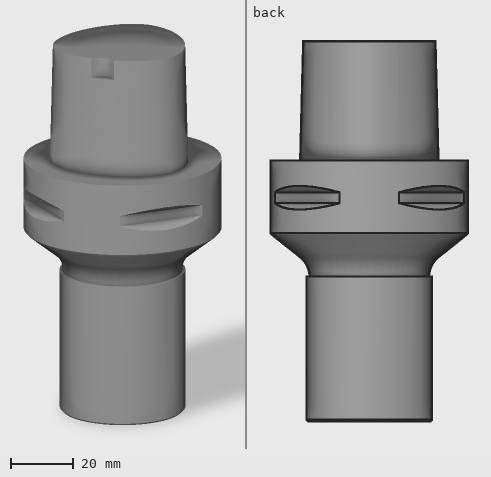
import cadquery as cq
import math

total_height = 121.0
shank_height = 46.1
flange_top = 83.0

shank_diameter = 40.0
shank_chamfer = 0.6

flange_radius = 63.0 / 2
flange_chamfer = 0.6
neck_radius = 38.1 / 2
neck_fillet_radius = 8.0
cone_angle = 38.5
cone_top_radius = flange_radius - flange_chamfer

groove_count = 4
groove_first_angle = 45.0
groove_level = 71.1
groove_floor_distance = 28.0
groove_floor_height = 3.4
groove_wall_angle = 30.0

polygon_radius = 22.0
polygon_lobe = 1.3
polygon_taper = 1.0
lobe_count = 3
lobe_half_angle = 36.0
lobe_pitch = 360.0 / lobe_count
first_lobe_direction = 90.0
steps_per_curve = 6

notch_radius = 4.6
notch_center_y = -22.3
notch_depth = 6.4


def polygon_point(radius, normal_angle):
    """Point of the constant-width outline whose outward normal has the given angle."""
    theta = math.radians(normal_angle)
    turn = math.radians(normal_angle - first_lobe_direction) * lobe_count
    support = radius + polygon_lobe * math.cos(turn)
    slope = -lobe_count * polygon_lobe * math.sin(turn)
    x = support * math.cos(theta) - slope * math.sin(theta)
    y = support * math.sin(theta) + slope * math.cos(theta)
    return cq.Vector(x, y, 0)


def polygon_curve(radius, start, end):
    """Stretch of the outline between two normal angles."""
    angles = [start + (end - start) * i / steps_per_curve for i in range(steps_per_curve + 1)]
    tangents = [
        cq.Vector(-math.sin(math.radians(angle)), math.cos(math.radians(angle)), 0)
        for angle in (start, end)
    ]
    return cq.Edge.makeSpline([polygon_point(radius, angle) for angle in angles], tangents=tangents)


def polygon_wire(radius, level):
    """Closed outline of alternating lobes and flatter sides."""
    curves = []
    for i in range(lobe_count):
        lobe = first_lobe_direction + i * lobe_pitch
        lobe_end = lobe + lobe_half_angle
        next_lobe_start = lobe + lobe_pitch - lobe_half_angle
        curves.append(polygon_curve(radius, lobe - lobe_half_angle, lobe_end))
        curves.append(polygon_curve(radius, lobe_end, next_lobe_start))
    return cq.Wire.assembleEdges(curves).translate(cq.Vector(0, 0, level))


def make_polygon():
    """Tapered polygon with its locating notch."""
    base = polygon_wire(polygon_radius, flange_top)
    top = polygon_wire(polygon_radius - polygon_taper, total_height)
    notch = (
        cq.Workplane("XY", origin=(0, notch_center_y, total_height - notch_depth))
        .circle(notch_radius)
        .extrude(notch_depth)
    )
    return cq.Workplane(cq.Solid.makeLoft([base, top], True)).cut(notch)


def make_flange():
    """Flange, cone and rounded neck turned about Z."""
    slope = math.radians(cone_angle)
    fillet_center_radius = neck_radius + neck_fillet_radius

    def fillet_point(angle):
        """Point of the neck fillet; the angle starts from the vertical neck end."""
        radius = fillet_center_radius - neck_fillet_radius * math.cos(angle)
        return (radius, shank_height + neck_fillet_radius * math.sin(angle))

    fillet_turn = math.pi / 2 - slope
    cone_start = fillet_point(fillet_turn)
    cone_top = cone_start[1] + (cone_top_radius - cone_start[0]) * math.tan(slope)
    return (
        cq.Workplane("XZ")
        .moveTo(0, shank_height)
        .lineTo(neck_radius, shank_height)
        .threePointArc(fillet_point(fillet_turn / 2), cone_start)
        .lineTo(cone_top_radius, cone_top)
        .lineTo(flange_radius, cone_top + flange_chamfer)
        .lineTo(flange_radius, flange_top)
        .lineTo(0, flange_top)
        .close()
        .revolve(360, (0, 0, 0), (0, 1, 0))
    )


def make_groove(angle):
    """Flat-bottomed groove cutter with sloping walls, facing the given direction."""
    depth = flange_radius - groove_floor_distance
    floor_half = groove_floor_height / 2
    mouth_half = floor_half + depth * math.tan(math.radians(groove_wall_angle))
    return (
        cq.Workplane("XZ", origin=(0, 0, groove_level))
        .polyline([
            (groove_floor_distance, -floor_half),
            (flange_radius, -mouth_half),
            (flange_radius, mouth_half),
            (groove_floor_distance, floor_half),
        ])
        .close()
        .extrude(flange_radius, both=True)
        .rotate((0, 0, 0), (0, 0, 1), angle)
    )


def make_holder():
    """Flange with its grooves, carrying the polygon."""
    body = make_flange().union(make_polygon())
    for i in range(groove_count):
        body = body.cut(make_groove(groove_first_angle + i * 360 / groove_count))
    return body


def make_shank():
    """Plain cylindrical shank, chamfered at its free end."""
    return (
        cq.Workplane("XY")
        .circle(shank_diameter / 2)
        .extrude(shank_height)
        .faces("<Z")
        .chamfer(shank_chamfer)
    )


holder = make_holder()
shank = make_shank()
result = cq.Compound.makeCompound([holder.val(), shank.val()])